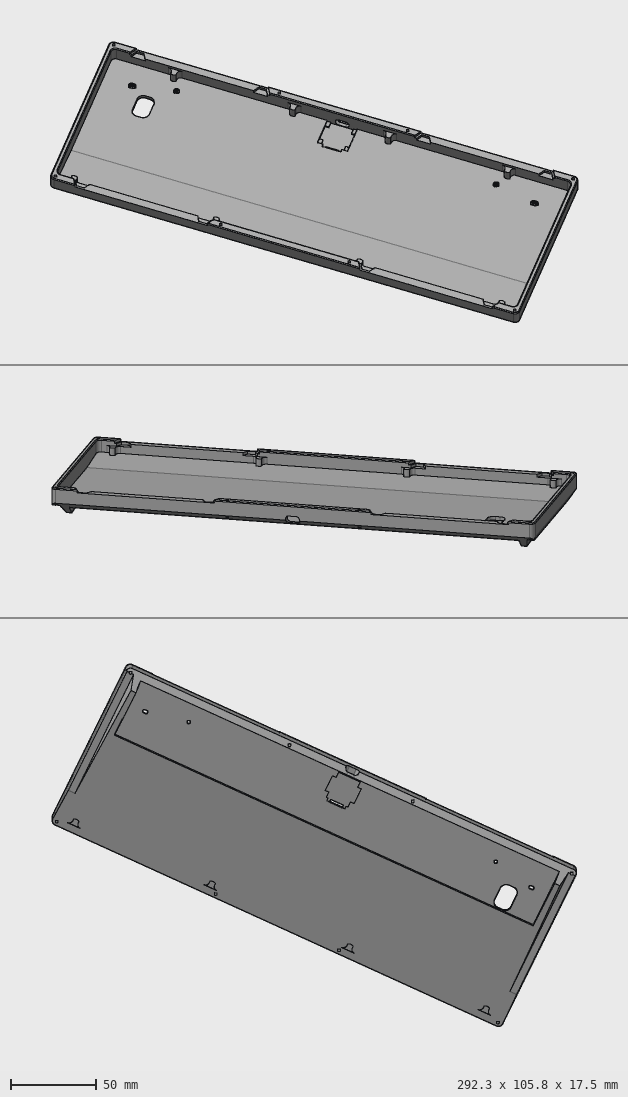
import cadquery as cq
import math

LENGTH = 292.3
WIDTH = 105.8
HEIGHT = 17.5
HALF_LENGTH = LENGTH / 2
HALF_WIDTH = WIDTH / 2
CORNER_RADIUS = 3.0
WALL_HEIGHT = 9.0
TYPING_ANGLE = 5.0
SLOPE = math.tan(math.radians(TYPING_ANGLE))

DRAFT_ANGLE = 17.0
PLATE_THICKNESS = 2.0
WEDGE_HALF_LENGTH = 141.2
REAR_BEVEL_RUN = 10.2
RAIL_INNER_X = 136.0
RECESS_FRONT_Y = 13.2

END_WALL = 3.0
LONG_WALL = 4.7
CAVITY_RADIUS = 2.5
FLOOR_Z = -10.0
FLOOR_THICKNESS = 2.3
EDGE_CHAMFER = 0.5
BEND_Y = -23.0
CAVITY_HALF_LENGTH = HALF_LENGTH - END_WALL
CAVITY_HALF_WIDTH = HALF_WIDTH - LONG_WALL

NOTCH_INNER_X = 47.5
NOTCH_OUTER_X = 130.0
NOTCH_DEPTH = 1.8
NOTCH_FLARE = 3.0

POCKET_XS = (51.0, 127.2)
POCKET_DEPTH = 3.5
POCKET_WIDE = 8.8
POCKET_NARROW = 4.7
POCKET_REACH = 3.5

RIM_HOLE_XS = (40.0, 143.2)
RIM_HOLE_Y = 50.5
RIM_HOLE_DIAMETER = 1.65

BOSS_TIP_WIDTH = 3.5
BOSS_TIP_BULGE = 0.5
BOSS_REACH = 4.0
BOSS_FILLET = 2.3
BOSS_TOP_Z = -3.5
REAR_BOSS_XS = (29.8, 104.0)
FRONT_BOSS_XS = (44.7, 133.3)

FLOOR_HOLE_DIAMETER = 2.0
FLOOR_BORE_DIAMETER = 3.5
FLOOR_BORE_DEPTH = 1.0
ROUND_HOLE = (99.7, 38.3)
SLOTTED_HOLE = (125.5, 33.0)
SLOT_STRETCH = 1.2

WINDOW_CENTER = (-114.3, 21.0)
WINDOW_SIZE = (10.5, 15.5)
WINDOW_RADIUS = 3.8

CONNECTOR_HALF_X = 9.4
CONNECTOR_FRONT_Y = 31.3
CONNECTOR_DEPTH = 1.8
LEDGE_WIDTH = 2.3
LEDGE_LENGTH = 3.5
LEDGE_DROP = 1.0
TONGUE_HALF_X = 5.8
TONGUE_LENGTH = 1.8
SLIT_HALF_X = 4.0
PORT_WIDTH = 8.5
PORT_HEIGHT = 4.7
PORT_SILL_DROP = 1.2
PORT_RADIUS = 2.0


def block(x0, x1, y0, y1, z0, z1):
    return cq.Workplane("XY").box(x1 - x0, y1 - y0, z1 - z0, centered=False).translate((x0, y0, z0))


def rounded_block(half_x, half_y, radius, z0, z1):
    return block(-half_x, half_x, -half_y, half_y, z0, z1).edges("|Z").fillet(radius)


def side_profile(points, half_x):
    """Prism along X from (y, z) points."""
    return cq.Workplane("YZ").polyline(points).close().extrude(half_x, both=True)


def drafted_prism(half_x, z_top, z_bottom):
    """Prism along Y whose two ends lean inwards on the way down."""
    inset = (z_top - z_bottom) * math.tan(math.radians(DRAFT_ANGLE))
    points = [
        (-half_x, z_top),
        (half_x, z_top),
        (half_x - inset, z_bottom),
        (-half_x + inset, z_bottom),
    ]
    return cq.Workplane("XZ").polyline(points).close().extrude(HALF_WIDTH, both=True)


def outer_body():
    outline = rounded_block(HALF_LENGTH, HALF_WIDTH, CORNER_RADIUS, -HEIGHT, 0)
    plate_z = -WALL_HEIGHT - PLATE_THICKNESS
    ends = block(-HALF_LENGTH, HALF_LENGTH, -HALF_WIDTH, HALF_WIDTH, -WALL_HEIGHT, 0)
    ends = ends.union(drafted_prism(HALF_LENGTH, -WALL_HEIGHT, plate_z))
    ends = ends.union(drafted_prism(WEDGE_HALF_LENGTH, plate_z, -HEIGHT))
    rear_bevel_y = HALF_WIDTH - REAR_BEVEL_RUN
    profile = side_profile(
        [
            (-HALF_WIDTH, 0),
            (HALF_WIDTH, 0),
            (HALF_WIDTH, -WALL_HEIGHT),
            (rear_bevel_y, -HEIGHT),
            (-HALF_WIDTH, -WALL_HEIGHT),
        ],
        HALF_LENGTH,
    )
    recess_z = FLOOR_Z - FLOOR_THICKNESS
    recess = block(-RAIL_INNER_X, RAIL_INNER_X, RECESS_FRONT_Y, HALF_WIDTH, -HEIGHT, recess_z)
    return outline.intersect(ends).intersect(profile).cut(recess)


def cavity():
    rise = (BEND_Y + CAVITY_HALF_WIDTH) * SLOPE
    profile = side_profile(
        [
            (-CAVITY_HALF_WIDTH, 0),
            (CAVITY_HALF_WIDTH, 0),
            (CAVITY_HALF_WIDTH, FLOOR_Z),
            (BEND_Y, FLOOR_Z),
            (-CAVITY_HALF_WIDTH, FLOOR_Z + rise),
        ],
        CAVITY_HALF_LENGTH,
    )
    return rounded_block(CAVITY_HALF_LENGTH, CAVITY_HALF_WIDTH, CAVITY_RADIUS, FLOOR_Z, 0).intersect(profile)


def boss(x, side):
    """Boss on a long wall, joined to it by a concave fillet on each flank."""
    wall_y = side * CAVITY_HALF_WIDTH
    fillet_y = wall_y - side * BOSS_FILLET
    tip_y = wall_y - side * BOSS_REACH
    half_tip = BOSS_TIP_WIDTH / 2
    half_base = half_tip + BOSS_FILLET
    arc_offset = BOSS_FILLET * (1 - math.sqrt(0.5))
    arc_y = wall_y - side * arc_offset
    return (
        cq.Workplane("XY", origin=(x, 0, FLOOR_Z))
        .moveTo(-half_base, wall_y)
        .threePointArc((-half_tip - arc_offset, arc_y), (-half_tip, fillet_y))
        .lineTo(-half_tip, tip_y + side * BOSS_TIP_BULGE)
        .threePointArc((0, tip_y), (half_tip, tip_y + side * BOSS_TIP_BULGE))
        .lineTo(half_tip, fillet_y)
        .threePointArc((half_tip + arc_offset, arc_y), (half_base, wall_y))
        .close()
        .extrude(BOSS_TOP_Z - FLOOR_Z)
    )


def rim_notch(side_x, side_y):
    """Lowered stretch of a long wall, flaring out at both ends towards the cavity."""
    outer_y = side_y * HALF_WIDTH
    inner_y = side_y * (CAVITY_HALF_WIDTH - EDGE_CHAMFER)
    return (
        cq.Workplane("XY")
        .polyline(
            [
                (side_x * NOTCH_INNER_X, outer_y),
                (side_x * NOTCH_OUTER_X, outer_y),
                (side_x * (NOTCH_OUTER_X + NOTCH_FLARE), inner_y),
                (side_x * (NOTCH_INNER_X - NOTCH_FLARE), inner_y),
            ]
        )
        .close()
        .extrude(-NOTCH_DEPTH)
    )


def rim_pocket(x, side):
    inner_y = side * CAVITY_HALF_WIDTH
    outer_y = inner_y + side * POCKET_REACH
    return (
        cq.Workplane("XY")
        .polyline(
            [
                (x - POCKET_WIDE / 2, inner_y),
                (x + POCKET_WIDE / 2, inner_y),
                (x + POCKET_NARROW / 2, outer_y),
                (x - POCKET_NARROW / 2, outer_y),
            ]
        )
        .close()
        .extrude(-POCKET_DEPTH)
    )


def mirrored_x(xs):
    return [side * x for side in (-1, 1) for x in xs]


def floor_hole(x, y, stretch):
    base = cq.Workplane("XY", origin=(x, y, FLOOR_Z))
    if stretch:
        bore = base.slot2D(FLOOR_BORE_DIAMETER + stretch, FLOOR_BORE_DIAMETER).extrude(-FLOOR_BORE_DEPTH)
        hole = base.slot2D(FLOOR_HOLE_DIAMETER + stretch, FLOOR_HOLE_DIAMETER).extrude(-HEIGHT)
    else:
        bore = base.circle(FLOOR_BORE_DIAMETER / 2).extrude(-FLOOR_BORE_DEPTH)
        hole = base.circle(FLOOR_HOLE_DIAMETER / 2).extrude(-HEIGHT)
    return bore.union(hole)


def floor_window():
    return (
        cq.Workplane("XY", origin=(*WINDOW_CENTER, FLOOR_Z))
        .rect(*WINDOW_SIZE)
        .extrude(-HEIGHT)
        .edges("|Z")
        .fillet(WINDOW_RADIUS)
    )


def connector_pocket():
    bottom_z = FLOOR_Z - CONNECTOR_DEPTH
    ledge_z = FLOOR_Z - LEDGE_DROP
    front = CONNECTOR_FRONT_Y
    rear = CAVITY_HALF_WIDTH
    pocket = block(-CONNECTOR_HALF_X, CONNECTOR_HALF_X, front, rear, bottom_z, FLOOR_Z)
    for x in (-CONNECTOR_HALF_X, CONNECTOR_HALF_X - LEDGE_WIDTH):
        for y in (front, rear - LEDGE_LENGTH):
            pocket = pocket.cut(block(x, x + LEDGE_WIDTH, y, y + LEDGE_LENGTH, bottom_z, ledge_z))
    tongue_y = front - TONGUE_LENGTH
    tongue = block(-TONGUE_HALF_X, TONGUE_HALF_X, tongue_y, front, bottom_z, FLOOR_Z)
    slit = block(-SLIT_HALF_X, SLIT_HALF_X, tongue_y, front, -HEIGHT, FLOOR_Z)
    port = (
        cq.Workplane("XZ", origin=(0, rear, FLOOR_Z + PORT_HEIGHT / 2 - PORT_SILL_DROP))
        .rect(PORT_WIDTH, PORT_HEIGHT)
        .extrude(-2 * LONG_WALL)
        .edges("|Y")
        .fillet(PORT_RADIUS)
    )
    return pocket.union(tongue).union(slit).union(port)


body = outer_body()
result = body.cut(cavity()).faces(">Z").edges().chamfer(EDGE_CHAMFER)
for side in (-1, 1):
    boss_xs = REAR_BOSS_XS if side > 0 else FRONT_BOSS_XS
    for x in mirrored_x(boss_xs):
        result = result.union(boss(x, side))
    for side_x in (-1, 1):
        result = result.cut(rim_notch(side_x, side))
    for x in mirrored_x(POCKET_XS):
        result = result.cut(rim_pocket(x, side))
    rim_hole_points = [(x, side * RIM_HOLE_Y) for x in mirrored_x(RIM_HOLE_XS)]
    rim_holes = cq.Workplane("XY").pushPoints(rim_hole_points).circle(RIM_HOLE_DIAMETER / 2)
    result = result.cut(rim_holes.extrude(-HEIGHT))
    result = result.cut(floor_hole(side * ROUND_HOLE[0], ROUND_HOLE[1], 0))
    result = result.cut(floor_hole(side * SLOTTED_HOLE[0], SLOTTED_HOLE[1], SLOT_STRETCH))
result = result.cut(floor_window()).cut(connector_pocket())